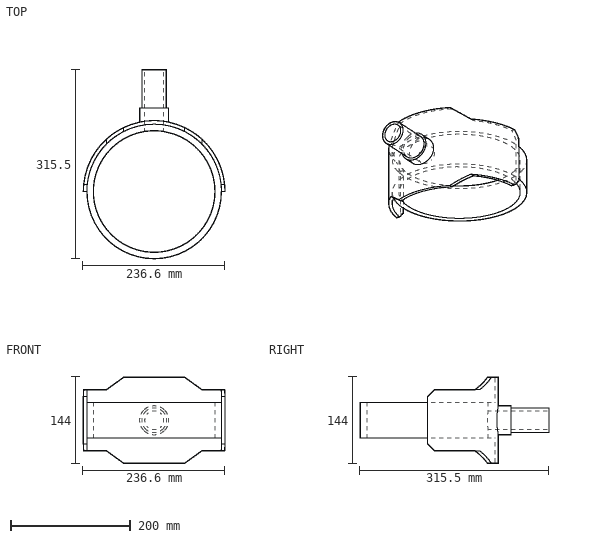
import cadquery as cq

ring_radius = 112.3
ring_bore_radius = 101.3
ring_height = 60.0

saddle_radius = 118.3
saddle_height = 144.0
wing_height = 102.0
crown_half_width = 50.8
shoulder_half_width = 79.8
wing_chamfer = 11.7

overall_length = 315.5
stem_end = overall_length - ring_radius
stem_radius = 20.5
stem_bore_radius = 15.8
collar_radius = 24.3
collar_end = 139.5


def rod_along_y(radius, end):
    """Round bar from the ring axis out to y = end."""
    return cq.Workplane("XZ").circle(radius).extrude(-end)


def upright_cylinder(radius, height):
    """Cylinder along Z, centred on the origin."""
    return cq.Workplane("XY").cylinder(height, radius)


def make_saddle():
    shell = upright_cylinder(saddle_radius, saddle_height).cut(upright_cylinder(ring_radius, saddle_height))
    top = saddle_height / 2
    wing_top = wing_height / 2
    upper_edge = [
        (-saddle_radius, wing_top),
        (-shoulder_half_width, wing_top),
        (-crown_half_width, top),
        (crown_half_width, top),
        (shoulder_half_width, wing_top),
        (saddle_radius, wing_top),
    ]
    lower_edge = [(x, -z) for x, z in reversed(upper_edge)]
    rear_outline = cq.Workplane("XZ").polyline(upper_edge + lower_edge).close().extrude(-saddle_radius)
    side_outline = (
        cq.Workplane("YZ")
        .polyline([
            (0, wing_top - wing_chamfer),
            (wing_chamfer, wing_top),
            (wing_chamfer, top),
            (saddle_radius, top),
            (saddle_radius, -top),
            (wing_chamfer, -top),
            (wing_chamfer, -wing_top),
            (0, wing_chamfer - wing_top),
        ])
        .close()
        .extrude(saddle_radius, both=True)
    )
    return shell.intersect(rear_outline).intersect(side_outline)


ring = upright_cylinder(ring_radius, ring_height)
ring_bore = upright_cylinder(ring_bore_radius, saddle_height)
collar = rod_along_y(collar_radius, collar_end)
stem = rod_along_y(stem_radius, stem_end)
stem_bore = rod_along_y(stem_bore_radius, stem_end)

result = ring.union(collar).union(stem).cut(ring_bore).union(make_saddle()).cut(stem_bore)